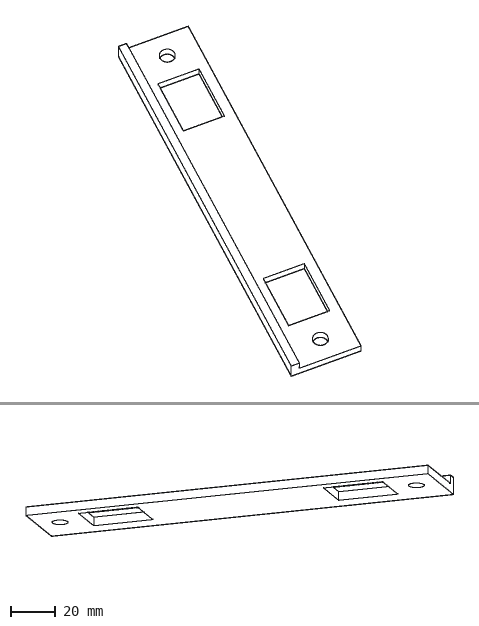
import cadquery as cq

length = 190.0
width = 34.0
height = 8.0

plate_thickness = 4.0
lip_width = 4.0

hole_diameter = 7.0
hole_spacing = 168.3
window_length = 28.0
window_width = 20.0
window_spacing = 115.7

flat_center_y = (lip_width + width) / 2


def make_profile_bar():
    """L-shaped section in the YZ plane, extruded along the length."""
    section = [
        (0, 0),
        (width, 0),
        (width, plate_thickness),
        (lip_width, plate_thickness),
        (lip_width, height),
        (0, height),
    ]
    return cq.Workplane("YZ").polyline(section).close().extrude(length / 2, both=True)


def mirrored_centers(spacing):
    """Two points on the flat area, symmetric about X = 0."""
    return [(-spacing / 2, flat_center_y), (spacing / 2, flat_center_y)]


def make_windows():
    """Rectangular through openings."""
    return (
        cq.Workplane("XY")
        .pushPoints(mirrored_centers(window_spacing))
        .rect(window_length, window_width)
        .extrude(plate_thickness)
    )


def make_holes():
    """Round through holes near the two ends."""
    return (
        cq.Workplane("XY")
        .pushPoints(mirrored_centers(hole_spacing))
        .circle(hole_diameter / 2)
        .extrude(plate_thickness)
    )


result = make_profile_bar().cut(make_windows()).cut(make_holes())